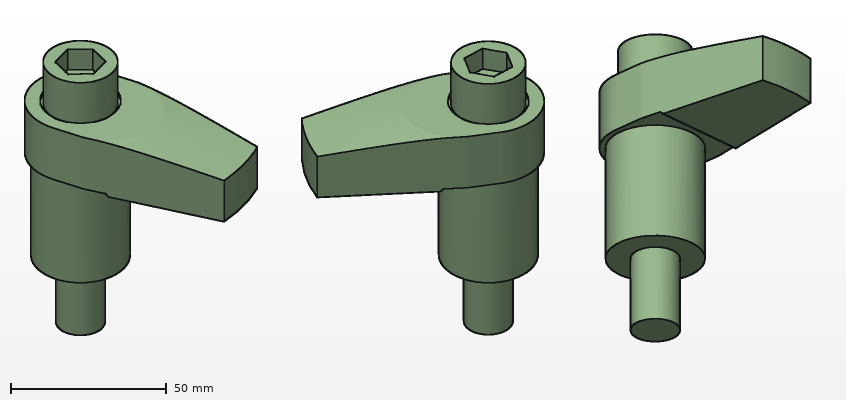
import cadquery as cq
import math

overall_height = 101.0
stud_length = 26.0
sleeve_length = 40.0
lever_thickness = 20.0
sleeve_top = stud_length + sleeve_length
lever_top = sleeve_top + lever_thickness

sleeve_diameter = 32.0
hub_radius = 18.0
boss_offset = 10.0
tip_radius = 60.0
tip_half_width = 11.0
top_drop = 4.9
arm_step = 1.0
arm_step_start = 18.7

stud_diameter = 16.0
head_diameter = 24.0
recess_diameter = 26.0
recess_depth = 1.0
hex_across_flats = 14.0
hex_depth = 8.0
head_seat = lever_top - recess_depth


def make_outline():
    """Lever outline: round hub, straight flanks, tapered arm and arc tip."""
    tip_corner_x = math.sqrt(tip_radius**2 - tip_half_width**2)
    corner_dx = tip_corner_x - boss_offset
    corner_distance = math.hypot(corner_dx, tip_half_width)
    tangent_angle = math.atan2(tip_half_width, corner_dx) + math.acos(hub_radius / corner_distance)
    tangent_x = boss_offset + hub_radius * math.cos(tangent_angle)
    tangent_y = hub_radius * math.sin(tangent_angle)
    mid_angle = (math.pi / 2 + tangent_angle) / 2
    mid_x = boss_offset + hub_radius * math.cos(mid_angle)
    mid_y = hub_radius * math.sin(mid_angle)
    return (
        cq.Workplane("XY", origin=(0, 0, sleeve_top - arm_step))
        .moveTo(0, hub_radius)
        .lineTo(boss_offset, hub_radius)
        .threePointArc((mid_x, mid_y), (tangent_x, tangent_y))
        .lineTo(tip_corner_x, tip_half_width)
        .threePointArc((tip_radius, 0), (tip_corner_x, -tip_half_width))
        .lineTo(tangent_x, -tangent_y)
        .threePointArc((mid_x, -mid_y), (boss_offset, -hub_radius))
        .lineTo(0, -hub_radius)
        .threePointArc((-hub_radius, 0), (0, hub_radius))
        .close()
    )


def make_top_cone_cutter():
    """Half-revolved wedge, on the arm side only, that slopes the arm top away from the boss."""
    tip_reach = tip_radius - boss_offset
    slope = top_drop / (tip_reach - hub_radius)
    outer_radius = tip_radius + hub_radius
    outer_drop = slope * (outer_radius - hub_radius)
    return (
        cq.Workplane("XZ", origin=(boss_offset, 0, lever_top))
        .moveTo(hub_radius, 0)
        .lineTo(outer_radius, -outer_drop)
        .lineTo(outer_radius, 0)
        .close()
        .revolve(180, (0, 0), (0, 1))
        .rotate((boss_offset, 0, 0), (boss_offset, 0, 1), -90)
    )


def make_hub_underside_cutter():
    """Block that raises the underside of the hub, ending in a 45 degree ramp."""
    return (
        cq.Workplane("XZ", origin=(0, 0, sleeve_top))
        .moveTo(-hub_radius, 0)
        .lineTo(arm_step_start, 0)
        .lineTo(arm_step_start + arm_step, -arm_step)
        .lineTo(-hub_radius, -arm_step)
        .close()
        .extrude(hub_radius, both=True)
    )


def make_lever():
    """Lever with its sleeve, bored for the screw and recessed for its head."""
    arm = make_outline().extrude(lever_thickness + arm_step)
    arm = arm.cut(make_top_cone_cutter()).cut(make_hub_underside_cutter())
    sleeve = (
        cq.Workplane("XY", origin=(0, 0, stud_length))
        .circle(sleeve_diameter / 2)
        .extrude(sleeve_length)
    )
    bore = cq.Workplane("XY").circle(stud_diameter / 2).extrude(overall_height)
    recess = (
        cq.Workplane("XY", origin=(0, 0, head_seat))
        .circle(recess_diameter / 2)
        .extrude(recess_depth)
    )
    return arm.union(sleeve).cut(bore).cut(recess)


def make_screw():
    """Socket head cap screw seated in the lever recess."""
    shank = cq.Workplane("XY").circle(stud_diameter / 2).extrude(head_seat)
    head = (
        cq.Workplane("XY", origin=(0, 0, head_seat))
        .circle(head_diameter / 2)
        .extrude(overall_height - head_seat)
    )
    hex_across_corners = hex_across_flats / math.cos(math.pi / 6)
    socket = (
        cq.Workplane("XY")
        .polygon(6, hex_across_corners)
        .extrude(hex_depth)
        .rotate((0, 0, 0), (0, 0, 1), 30)
        .translate((0, 0, overall_height - hex_depth))
    )
    return shank.union(head).cut(socket)


lever = make_lever()
screw = make_screw()
result = cq.Compound.makeCompound([lever.val(), screw.val()])